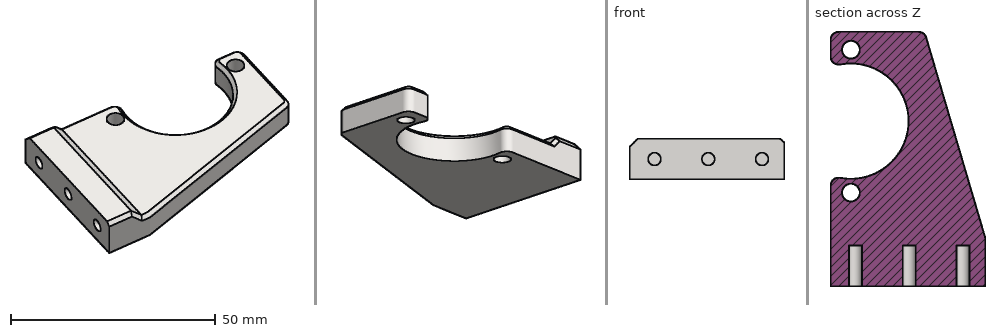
import cadquery as cq
import math

width = 37.9
length = 62.4
block_height = 10.0

plate_height = 7.0
block_depth = 7.0
ramp_run = block_height - plate_height
top_edge_width = 23.0
side_length = 11.85

corner_radius = 2.0
edge_chamfer = 1.0
block_chamfer = 2.0

opening_radius = 14.1
opening_x = 5.0
opening_y = 40.5
mouth_half_height = math.sqrt(opening_radius**2 - opening_x**2)
plate_hole_diameter = 4.3
plate_hole_pitch = 35.0

front_hole_diameter = 3.1
front_hole_depth = 10.0
front_hole_pitch = 13.15
front_hole_middle_x = 19.3
front_hole_z = block_height / 2


def make_outline():
    """Tapered bracket outline, with a round opening in its left edge, full height."""
    body = (
        cq.Workplane("XY")
        .polyline([(0, 0), (width, 0), (width, side_length), (top_edge_width, length), (0, length)])
        .close()
        .extrude(block_height)
    )
    opening = (
        cq.Workplane("XY")
        .center(opening_x, opening_y)
        .circle(opening_radius)
        .extrude(block_height)
    )
    body = body.cut(opening)
    mid_height = block_height / 2
    corners = [
        (0, length, mid_height),
        (top_edge_width, length, mid_height),
        (0, opening_y + mouth_half_height, mid_height),
        (0, opening_y - mouth_half_height, mid_height),
    ]
    for corner in corners:
        body = body.edges(cq.selectors.NearestToPointSelector(corner)).fillet(corner_radius)
    return body


def make_side_profile():
    """Stepped side profile: raised block, ramp, thin plate."""
    return (
        cq.Workplane("YZ")
        .polyline([
            (0, 0),
            (length, 0),
            (length, plate_height),
            (block_depth + ramp_run, plate_height),
            (block_depth, block_height),
            (0, block_height),
        ])
        .close()
        .extrude(width)
    )


def chamfer_top(body):
    """Chamfer the top border, leaving the front edge and both ramp creases sharp."""
    top_faces = body.faces("+Z or +(0, 1, 1)")
    return top_faces.edges("not(|X) or >Y").chamfer(edge_chamfer)


def make_block_wedge():
    """Material removed by the larger chamfer on the block's left edge."""
    return (
        cq.Workplane("XZ")
        .polyline([(0, block_height), (block_chamfer, block_height), (0, block_height - block_chamfer)])
        .close()
        .extrude(-(block_depth + ramp_run))
    )


def make_plate_holes():
    half_pitch = plate_hole_pitch / 2
    return (
        cq.Workplane("XY")
        .pushPoints([(opening_x, opening_y + side * half_pitch) for side in (-1, 1)])
        .circle(plate_hole_diameter / 2)
        .extrude(block_height)
    )


def make_front_holes():
    return (
        cq.Workplane("XZ")
        .pushPoints([(front_hole_middle_x + i * front_hole_pitch, front_hole_z) for i in (-1, 0, 1)])
        .circle(front_hole_diameter / 2)
        .extrude(-front_hole_depth)
    )


bracket = chamfer_top(make_outline().intersect(make_side_profile()))
result = bracket.cut(make_block_wedge()).cut(make_plate_holes()).cut(make_front_holes())